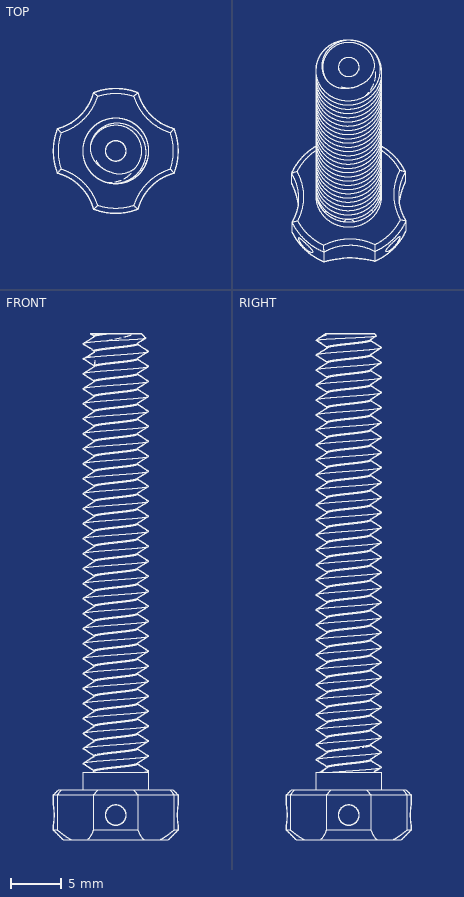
import cadquery as cq
import math

total_length = 50.6
bore_diameter = 2

head_diameter = 12.5
head_height = 5.0
lobe_width = 4.45
valley_radius = 5.0
lobe_count = 4
top_chamfer = 0.5
bottom_chamfer = 1

shank_diameter = 6.6
collar_top = 6.8
thread_pitch = 1.5
root_diameter = 4.35
flank_angle = 32
first_crest = 4.65
tip_chamfer = 0.7

head_radius = head_diameter / 2
shank_radius = shank_diameter / 2
root_radius = root_diameter / 2


def rod(radius, bottom, top):
    return cq.Workplane("XY").workplane(offset=bottom).circle(radius).extrude(top - bottom)


def polar(radius, angle):
    return radius * math.cos(angle), radius * math.sin(angle)


def make_head():
    lobe_half_angle = math.asin(lobe_width / 2 / head_radius)
    lobe_step = 2 * math.pi / lobe_count
    outline = cq.Workplane("XY").moveTo(*polar(head_radius, -lobe_half_angle))
    for index in range(lobe_count):
        lobe = index * lobe_step
        next_lobe = lobe + lobe_step
        outline = outline.threePointArc(
            polar(head_radius, lobe),
            polar(head_radius, lobe + lobe_half_angle),
        )
        outline = outline.threePointArc(
            polar(valley_radius, lobe + lobe_step / 2),
            polar(head_radius, next_lobe - lobe_half_angle),
        )
    head = outline.close().extrude(head_height).faces(">Z").chamfer(top_chamfer)
    bevelled_blank = rod(head_radius, 0, head_height).faces("<Z").chamfer(bottom_chamfer)
    return head.intersect(bevelled_blank)


def make_thread():
    """Helical ridge on the shank, trimmed by the collar and the chamfered tip."""
    embed = 0.075
    base_radius = root_radius - embed
    half_base = (shank_radius - base_radius) * math.tan(math.radians(flank_angle))
    helix_height = total_length + thread_pitch - first_crest
    helix = cq.Wire.makeHelix(thread_pitch, helix_height, root_radius)
    ridge = (
        cq.Workplane("XZ")
        .polyline([(base_radius, -half_base), (shank_radius, 0), (base_radius, half_base)])
        .close()
        .sweep(cq.Workplane(helix), isFrenet=True)
        .rotate((0, 0, 0), (0, 0, 1), 180)
        .translate((0, 0, first_crest))
    )
    core = rod(root_radius, head_height, total_length)
    envelope = rod(shank_radius + embed, collar_top, total_length)
    envelope = envelope.faces(">Z").chamfer(tip_chamfer + embed)
    return core.union(ridge.intersect(envelope))


def make_cross_hole(plane):
    return (
        cq.Workplane(plane)
        .center(0, head_height / 2)
        .circle(bore_diameter / 2)
        .extrude(head_diameter, both=True)
    )


collar = rod(shank_radius, head_height, collar_top)
result = make_head().union(collar).union(make_thread())
result = result.cut(rod(bore_diameter / 2, 0, total_length))
for hole_plane in ("XZ", "YZ"):
    result = result.cut(make_cross_hole(hole_plane))